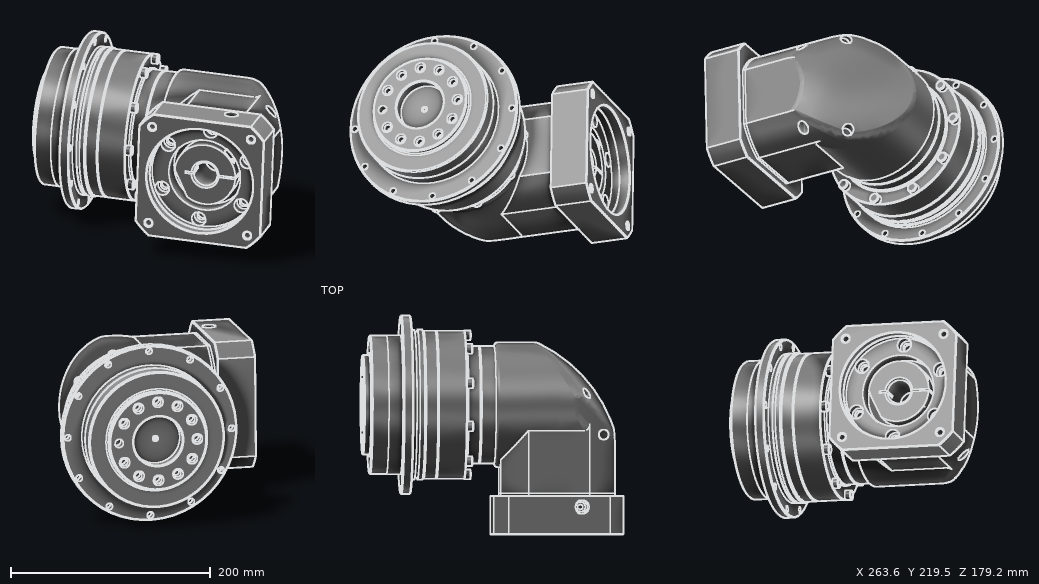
import cadquery as cq
import math

TILT = 2.2

DISC_FACE = -195.0
HOUSING_FACE = -188.2
PILOT_STEP = -170.8
FLANGE_FRONT = -156.9
FLANGE_BACK = -146.8
COLLAR_BACK = -143.0
RIDGE_FRONT = -139.7
RIDGE_BACK = -135.0
RELIEF_BACK = -133.5
HOUSING_BACK = -121.3
RING_GEAR_BACK = -92.5
SHOULDER_BACK = -90.5
PLATE_BACK = -78.0
NECK_BACK = -63.0
SEAM_DEPTH = 0.8

DISC_RADIUS = 50.0
DISC_BACK = HOUSING_FACE + 21.0
DISC_CHAMFER = 1.0
RECESS_RADIUS = 25.0
RECESS_DEPTH = 13.2
RECESS_CHAMFER = 1.0
CENTER_HOLE_RADIUS = 1.8
CENTER_HOLE_DEPTH = 5.3
CENTER_HOLE_CHAMFER = 1.0
DISC_HOLE_COUNT = 12
DISC_HOLE_CIRCLE = 40.0
DISC_HOLE_RADIUS = 3.5
DISC_HOLE_DEPTH = 10.5
DISC_HOLE_CHAMFER = 1.8
DOWEL_RADIUS = 4.2
DRILL_POINT_ANGLE = 118

SEAL_RADIUS = 52.2
SEAL_BACK = HOUSING_FACE + 6.5
HOUSING_CHAMFER = 1.3
PILOT_FRONT_RADIUS = 69.5
PILOT_RADIUS = 69.9
FLANGE_DIAMETER = 179.0
FLANGE_CHAMFER = 1.0
FLANGE_HOLE_COUNT = 12
FLANGE_HOLE_CIRCLE = 84.0
FLANGE_HOLE_RADIUS = 3.2
COLLAR_RADIUS = 75.1
GROOVE_RADIUS = 73.3
RIDGE_RADIUS = 75.5
BODY_RADIUS = 74.3
SCREW_COUNT = 10
SCREW_CIRCLE = 69.5
SCREW_HEAD_RADIUS = 5.0
SCREW_HEAD_HEIGHT = 6.3

SHOULDER_RADIUS = 60.5
NECK_RADIUS = 59.0
BARREL_RADIUS = 62.7
BARREL_FILLET = 4.0
FOOT_HALF_WIDTH = 57.2
FOOT_CORNER_RADIUS = 64.9
FOOT_END = -88.3
DOME_RADIUS = 144.7
DOME_CENTER_X = -80.5
DOME_CENTER_Y = -69.0
DOME_FILLET = 13.2
DOME_HOLE_RADIUS = 5.5
DOME_HOLE_OFFSET = 11.5
DOME_HOLE_HEIGHT = 51.5
DOME_HOLE_FLOOR = 19.8
DOME_HOLE_LENGTH = 52.7
MITRE_BOX = ((13.2, 0, -79), (39.5, 31.6, 79))
SIDE_HOLE_RADIUS = 5.0
SIDE_HOLE_X = 45.3
SIDE_HOLE_Y = -29.8
SIDE_HOLE_FLOOR = 34.3

ADAPTER_BACK = -91.0
ADAPTER_FACE = -130.0
ADAPTER_WIDTH = 130.0
ADAPTER_CORNER_RADIUS = 82.5
ADAPTER_CHAMFER = 0.8
MOTOR_PILOT_RADIUS = 55.0
MOTOR_PILOT_DEPTH = 11.0
MOTOR_PILOT_CHAMFER = 0.8
WELL_RADIUS = 54.5
WELL_FLOOR = -110.7
HUB_BORE_RADIUS = 37.2
MOTOR_HOLE_COUNT = 4
MOTOR_HOLE_CIRCLE = 72.5
MOTOR_HOLE_ANGLE = 45
MOTOR_HOLE_RADIUS = 3.5
MOTOR_HOLE_DEPTH = 18.5
MOTOR_HOLE_CHAMFER = 1.0
CAP_HOLE_COUNT = 6
CAP_HOLE_CIRCLE = 47.7
CAP_HOLE_ANGLE = 24.7
CAP_BORE_RADIUS = 7.0
CAP_BORE_DEPTH = 10.5
CAP_HOLE_RADIUS = 4.5
CAP_HOLE_DEPTH = 5.3
CLAMP_X = 23.0
CLAMP_Y = -102.3
ACCESS_RADIUS = 6.9

HUB_FACE = -109.5
HUB_RADIUS = 31.5
HUB_SHAFT_RADIUS = 20.3
HUB_SHAFT_END = -47.5
SHAFT_BORE_RADIUS = 12.0
SHAFT_BORE_END = -63.3
SHAFT_BORE_CHAMFER = 2.0
SLIT_WIDTH = 2.0
FLAT_DISTANCE = 27.5
FLAT_ANGLE = 207
CLAMP_SEAT = 9.8
CLAMP_HEAD_RADIUS = 5.0
CLAMP_HEAD_HEIGHT = 6.0
CLAMP_SHANK_RADIUS = 3.0
CLAMP_SHANK_END = -15.8
CLAMP_SOCKET_WIDTH = 5.0
CLAMP_SOCKET_DEPTH = 3.2


def x_cylinder(radius, start, end, y=0.0, z=0.0):
    """Cylinder along the output axis between two stations."""
    return cq.Workplane("YZ", origin=(start, y, z)).circle(radius).extrude(end - start)


def y_cylinder(radius, start, end, x=0.0, z=0.0):
    """Cylinder along the input axis between two stations."""
    solid = cq.Solid.makeCylinder(radius, end - start, cq.Vector(x, start, z), cq.Vector(0, 1, 0))
    return cq.Workplane(solid)


def z_cylinder(radius, bottom, top, x, y):
    """Upright cylinder between two heights."""
    return cq.Workplane("XY", origin=(x, y, bottom)).circle(radius).extrude(top - bottom)


def ring_points(count, radius, start=0.0):
    """Points evenly spaced on a circle, as pairs of plane coordinates."""
    angles = [math.radians(start + index * 360 / count) for index in range(count)]
    return [(radius * math.cos(angle), radius * math.sin(angle)) for angle in angles]


def drilled_hole(mouth, direction, radius, depth, chamfer):
    """Tool for a blind hole with a drill-point bottom and an optional countersunk mouth."""
    mouth = cq.Vector(*mouth)
    direction = cq.Vector(*direction)
    point = radius / math.tan(math.radians(DRILL_POINT_ANGLE / 2))
    tool = cq.Solid.makeCylinder(radius, depth, mouth, direction)
    tip = cq.Solid.makeCone(radius, 0, point, mouth + direction * depth, direction)
    tool = cq.Workplane(tool).union(cq.Workplane(tip))
    if chamfer:
        sink = cq.Solid.makeCone(radius + chamfer, radius, chamfer, mouth, direction)
        tool = tool.union(cq.Workplane(sink))
    return tool


def make_output_disc():
    disc = x_cylinder(DISC_RADIUS, DISC_FACE, DISC_BACK).faces("<X").edges().chamfer(DISC_CHAMFER)
    recess_floor = DISC_FACE + RECESS_DEPTH
    disc = disc.cut(x_cylinder(RECESS_RADIUS, DISC_FACE, recess_floor))
    recess_rim = disc.faces("<X").edges("%CIRCLE").edges(cq.selectors.RadiusNthSelector(0))
    disc = recess_rim.chamfer(RECESS_CHAMFER)
    inward = (1, 0, 0)
    center = (recess_floor, 0, 0)
    disc = disc.cut(drilled_hole(center, inward, CENTER_HOLE_RADIUS, CENTER_HOLE_DEPTH, CENTER_HOLE_CHAMFER))
    for index, (y, z) in enumerate(ring_points(DISC_HOLE_COUNT, DISC_HOLE_CIRCLE)):
        is_dowel = index == 0
        radius = DOWEL_RADIUS if is_dowel else DISC_HOLE_RADIUS
        chamfer = 0 if is_dowel else DISC_HOLE_CHAMFER
        disc = disc.cut(drilled_hole((DISC_FACE, y, z), inward, radius, DISC_HOLE_DEPTH, chamfer))
    return disc


def make_seal():
    seal = x_cylinder(SEAL_RADIUS, HOUSING_FACE, SEAL_BACK)
    return seal.cut(x_cylinder(DISC_RADIUS, HOUSING_FACE, SEAL_BACK))


def make_housing():
    pilot_front = x_cylinder(PILOT_FRONT_RADIUS, HOUSING_FACE, PILOT_STEP)
    housing = pilot_front.faces("<X").edges().chamfer(HOUSING_CHAMFER)
    housing = housing.union(x_cylinder(PILOT_RADIUS, PILOT_STEP, FLANGE_FRONT))
    flange = x_cylinder(FLANGE_DIAMETER / 2, FLANGE_FRONT, FLANGE_BACK).edges().chamfer(FLANGE_CHAMFER)
    housing = housing.union(flange)
    housing = housing.union(x_cylinder(COLLAR_RADIUS, FLANGE_BACK, COLLAR_BACK))
    housing = housing.union(x_cylinder(GROOVE_RADIUS, COLLAR_BACK, RELIEF_BACK))
    housing = housing.union(x_cylinder(RIDGE_RADIUS, RIDGE_FRONT, RIDGE_BACK))
    rear = x_cylinder(BODY_RADIUS, RELIEF_BACK, HOUSING_BACK).faces(">X").edges().chamfer(SEAM_DEPTH)
    housing = housing.union(rear)
    for y, z in ring_points(FLANGE_HOLE_COUNT, FLANGE_HOLE_CIRCLE):
        housing = housing.cut(x_cylinder(FLANGE_HOLE_RADIUS, FLANGE_FRONT, FLANGE_BACK, y, z))
    housing = housing.cut(x_cylinder(SEAL_RADIUS, HOUSING_FACE, SEAL_BACK))
    return housing.cut(x_cylinder(DISC_RADIUS, SEAL_BACK, DISC_BACK))


def make_ring_gear():
    gear = x_cylinder(BODY_RADIUS, HOUSING_BACK, RING_GEAR_BACK).edges().chamfer(SEAM_DEPTH)
    head_end = RING_GEAR_BACK + SCREW_HEAD_HEIGHT
    for y, z in ring_points(SCREW_COUNT, SCREW_CIRCLE):
        head = x_cylinder(SCREW_HEAD_RADIUS, RING_GEAR_BACK, head_end, y, z)
        gear = gear.union(head.faces(">X").edges().chamfer(SEAM_DEPTH))
    return gear


def make_coupling_plate():
    plate = x_cylinder(NECK_RADIUS, SHOULDER_BACK, PLATE_BACK).faces(">X").edges().chamfer(SEAM_DEPTH)
    return plate.union(x_cylinder(SHOULDER_RADIUS, RING_GEAR_BACK, SHOULDER_BACK))


def square_bar(start, end):
    """Square bar of the elbow's foot along the input axis."""
    width = 2 * FOOT_HALF_WIDTH
    return cq.Workplane("XY").box(width, end - start, width).translate((0, (start + end) / 2, 0))


def make_elbow():
    barrel = x_cylinder(BARREL_RADIUS, NECK_BACK, 0).faces("<X").edges().fillet(BARREL_FILLET)
    bend = x_cylinder(BARREL_RADIUS, 0, FOOT_HALF_WIDTH).union(square_bar(FOOT_END, 0))
    bend = bend.intersect(y_cylinder(FOOT_CORNER_RADIUS, FOOT_END, BARREL_RADIUS))
    elbow = barrel.union(bend)
    elbow = elbow.edges(cq.selectors.BoxSelector(*MITRE_BOX)).fillet(DOME_FILLET)

    dome = cq.Workplane("XY", origin=(DOME_CENTER_X, DOME_CENTER_Y, 0)).sphere(DOME_RADIUS)
    elbow = elbow.intersect(dome)
    elbow = elbow.faces("%SPHERE").edges().fillet(DOME_FILLET)
    neck = x_cylinder(NECK_RADIUS, PLATE_BACK, NECK_BACK).faces("<X").edges().chamfer(SEAM_DEPTH)
    elbow = elbow.union(neck)
    diagonal = math.sqrt(0.5)
    for side in (1, -1):
        floor = cq.Vector(
            (DOME_HOLE_FLOOR + DOME_HOLE_OFFSET) * diagonal,
            (DOME_HOLE_FLOOR - DOME_HOLE_OFFSET) * diagonal,
            side * DOME_HOLE_HEIGHT,
        )
        bore = cq.Solid.makeCylinder(DOME_HOLE_RADIUS, DOME_HOLE_LENGTH, floor, cq.Vector(1, 1, 0))
        elbow = elbow.cut(cq.Workplane(bore))
        bottom, top = sorted((side * SIDE_HOLE_FLOOR, side * FOOT_CORNER_RADIUS))
        elbow = elbow.cut(z_cylinder(SIDE_HOLE_RADIUS, bottom, top, SIDE_HOLE_X, SIDE_HOLE_Y))
    return elbow.cut(y_cylinder(HUB_SHAFT_RADIUS, FOOT_END, HUB_SHAFT_END))


def make_input_plate():
    plate = square_bar(ADAPTER_BACK, FOOT_END)
    plate = plate.intersect(y_cylinder(FOOT_CORNER_RADIUS, ADAPTER_BACK, FOOT_END))
    return plate.cut(y_cylinder(HUB_SHAFT_RADIUS, ADAPTER_BACK, FOOT_END))


def make_adapter():
    length = ADAPTER_BACK - ADAPTER_FACE
    middle = (ADAPTER_BACK + ADAPTER_FACE) / 2
    adapter = cq.Workplane("XY").box(ADAPTER_WIDTH, length, ADAPTER_WIDTH).translate((0, middle, 0))
    adapter = adapter.intersect(y_cylinder(ADAPTER_CORNER_RADIUS, ADAPTER_FACE, ADAPTER_BACK))
    adapter = adapter.faces("<Y or >Y").edges().chamfer(ADAPTER_CHAMFER)
    adapter = adapter.cut(y_cylinder(MOTOR_PILOT_RADIUS, ADAPTER_FACE, ADAPTER_FACE + MOTOR_PILOT_DEPTH))
    pilot_rim = adapter.faces("<Y").edges("%CIRCLE").edges(cq.selectors.RadiusNthSelector(0))
    adapter = pilot_rim.chamfer(MOTOR_PILOT_CHAMFER)
    adapter = adapter.cut(y_cylinder(WELL_RADIUS, ADAPTER_FACE, WELL_FLOOR))
    adapter = adapter.cut(y_cylinder(HUB_BORE_RADIUS, WELL_FLOOR, ADAPTER_BACK))
    inward = (0, 1, 0)
    for x, z in ring_points(MOTOR_HOLE_COUNT, MOTOR_HOLE_CIRCLE, MOTOR_HOLE_ANGLE):
        mouth = (x, ADAPTER_FACE, z)
        hole = drilled_hole(mouth, inward, MOTOR_HOLE_RADIUS, MOTOR_HOLE_DEPTH, MOTOR_HOLE_CHAMFER)
        adapter = adapter.cut(hole)
    for x, z in ring_points(CAP_HOLE_COUNT, CAP_HOLE_CIRCLE, CAP_HOLE_ANGLE):
        adapter = adapter.cut(y_cylinder(CAP_BORE_RADIUS, WELL_FLOOR, WELL_FLOOR + CAP_BORE_DEPTH, x, z))
        seat = (x, WELL_FLOOR + CAP_BORE_DEPTH, z)
        adapter = adapter.cut(drilled_hole(seat, inward, CAP_HOLE_RADIUS, CAP_HOLE_DEPTH, 0))
    return adapter.cut(z_cylinder(ACCESS_RADIUS, 0, ADAPTER_WIDTH, CLAMP_X, CLAMP_Y))


def clamp_screw_blank():
    """Clamp screw outline without its socket, also the tool for its seat in the hub."""
    shank = z_cylinder(CLAMP_SHANK_RADIUS, CLAMP_SHANK_END, CLAMP_SEAT, CLAMP_X, CLAMP_Y)
    head_top = CLAMP_SEAT + CLAMP_HEAD_HEIGHT
    return shank.union(z_cylinder(CLAMP_HEAD_RADIUS, CLAMP_SEAT, head_top, CLAMP_X, CLAMP_Y))


def make_clamp_screw():
    socket_floor = CLAMP_SEAT + CLAMP_HEAD_HEIGHT - CLAMP_SOCKET_DEPTH
    socket = (
        cq.Workplane("XY", origin=(CLAMP_X, CLAMP_Y, socket_floor))
        .polygon(6, CLAMP_SOCKET_WIDTH, circumscribed=True)
        .extrude(CLAMP_SOCKET_DEPTH)
    )
    return clamp_screw_blank().cut(socket)


def make_clamp_hub():
    hub = y_cylinder(HUB_RADIUS, HUB_FACE, ADAPTER_BACK)
    hub = hub.union(y_cylinder(HUB_SHAFT_RADIUS, ADAPTER_BACK, HUB_SHAFT_END))
    bore_depth = SHAFT_BORE_END - HUB_FACE
    hub = hub.cut(drilled_hole((0, HUB_FACE, 0), (0, 1, 0), SHAFT_BORE_RADIUS, bore_depth, SHAFT_BORE_CHAMFER))

    head_length = ADAPTER_BACK - HUB_FACE
    head_middle = (HUB_FACE + ADAPTER_BACK) / 2
    slit_length = HUB_SHAFT_RADIUS + HUB_RADIUS
    slit_center = ((HUB_RADIUS - HUB_SHAFT_RADIUS) / 2, head_middle, 0)
    hub = hub.cut(cq.Workplane("XY").box(slit_length, head_length, SLIT_WIDTH).translate(slit_center))

    flat = cq.Workplane("XY").box(HUB_RADIUS, head_length, 2 * HUB_RADIUS)
    flat = flat.translate((FLAT_DISTANCE + HUB_RADIUS / 2, head_middle, 0))
    hub = hub.cut(flat.rotate((0, 0, 0), (0, 1, 0), -FLAT_ANGLE))

    hub = hub.cut(clamp_screw_blank())
    return hub.cut(z_cylinder(CLAMP_HEAD_RADIUS, CLAMP_SEAT, HUB_RADIUS, CLAMP_X, CLAMP_Y))


def tilted(body):
    """Solid of a body, turned with the whole gearbox about the Y axis."""
    return body.rotate((0, 0, 0), (0, 1, 0), TILT).val()


output_disc = make_output_disc()
seal = make_seal()
housing = make_housing()
ring_gear = make_ring_gear()
coupling_plate = make_coupling_plate()
elbow = make_elbow()
input_plate = make_input_plate()
adapter = make_adapter()
clamp_hub = make_clamp_hub()
clamp_screw = make_clamp_screw()

result = cq.Compound.makeCompound([
    tilted(body)
    for body in (
        output_disc, seal, housing, ring_gear, coupling_plate,
        elbow, input_plate, adapter, clamp_hub, clamp_screw,
    )
])